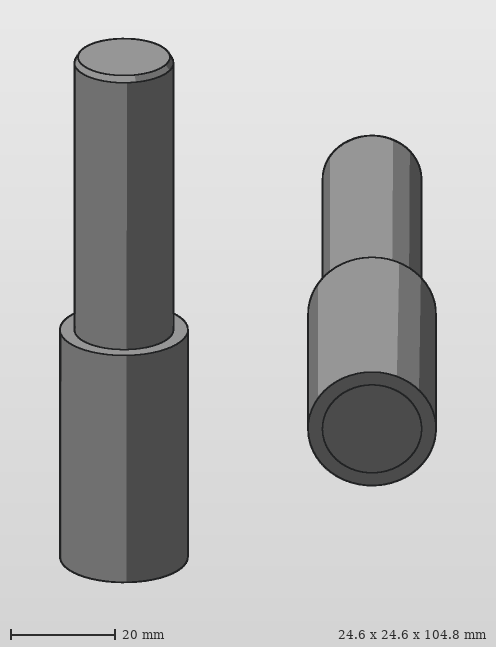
import cadquery as cq
import math

total_length = 104.8
sleeve_length = 47.625
sleeve_diameter = 24.61
pin_diameter = 19.05
chamfer_width = 0.7
chamfer_angle = 30

pin_radius = pin_diameter / 2
sleeve_radius = sleeve_diameter / 2
chamfer_height = chamfer_width / math.tan(math.radians(chamfer_angle))


def make_pin():
    """Straight round pin, running the full length, with a steep chamfer on its top end."""
    half_profile = (
        cq.Workplane("XZ")
        .lineTo(pin_radius, 0)
        .lineTo(pin_radius, total_length - chamfer_height)
        .lineTo(pin_radius - chamfer_width, total_length)
        .lineTo(0, total_length)
        .close()
    )
    return half_profile.revolve(360, (0, 0, 0), (0, 1, 0))


def make_sleeve():
    """Plain round sleeve around the lower part of the pin, flush with its bottom end."""
    return (
        cq.Workplane("XY")
        .circle(sleeve_radius)
        .circle(pin_radius)
        .extrude(sleeve_length)
    )


pin = make_pin()
sleeve = make_sleeve()

result = cq.Compound.makeCompound([pin.val(), sleeve.val()])